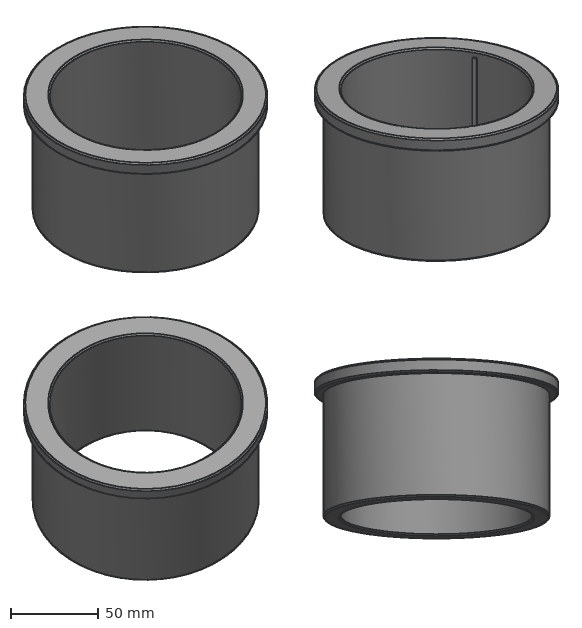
import cadquery as cq

flange_diameter = 140.0
body_diameter = 130.0
bore_diameter = 110.0
total_height = 80.0
flange_thickness = 8.0
edge_chamfer = 1.0
groove_width = 3.0
groove_end_margin = 3.9

flange_bottom = total_height - flange_thickness

body = (
    cq.Workplane("XY")
    .circle(body_diameter / 2)
    .extrude(total_height)
    .faces("<Z")
    .chamfer(edge_chamfer)
)

flange = (
    cq.Workplane("XY")
    .workplane(offset=flange_bottom)
    .circle(flange_diameter / 2)
    .extrude(flange_thickness)
    .faces("<Z or >Z")
    .chamfer(edge_chamfer)
)

bore = cq.Workplane("XY").circle(bore_diameter / 2).extrude(total_height)
mouth_radius = bore_diameter / 2 + edge_chamfer
lower_mouth = cq.Solid.makeCone(mouth_radius, bore_diameter / 2, edge_chamfer)
upper_mouth = cq.Solid.makeCone(
    bore_diameter / 2,
    mouth_radius,
    edge_chamfer,
    pnt=cq.Vector(0, 0, total_height - edge_chamfer),
)

groove_radius = groove_width / 2
groove_low = groove_end_margin + groove_radius
groove_high = total_height - groove_low
groove = (
    cq.Workplane("XY")
    .center(bore_diameter / 2, 0)
    .workplane(offset=groove_low)
    .circle(groove_radius)
    .extrude(groove_high - groove_low)
)
for end_height in (groove_low, groove_high):
    ball = cq.Workplane("XY").sphere(groove_radius).translate((bore_diameter / 2, 0, end_height))
    groove = groove.union(ball)

result = body.union(flange).cut(bore).cut(lower_mouth).cut(upper_mouth).cut(groove)